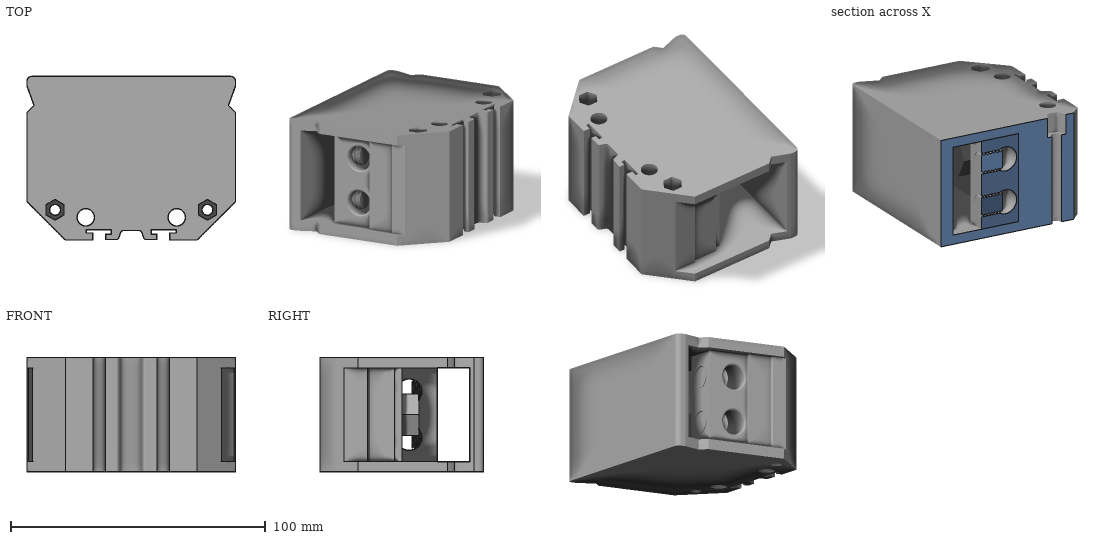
import cadquery as cq
import math

WIDTH = 81.9
HEIGHT = 64.3
DEPTH = 45.0
CORNER_CUT = 15.1
TOP_CORNER_RADIUS = 2.0
GRIP_TOP_Y = 60.45
GRIP_DEPTH = 2.8
GRIP_INNER_Y = 52.8

GROOVE_TOP_Y = 3.7
GROOVE_TOP_HALF_WIDTH = 3.85
GROOVE_MOUTH_HALF_WIDTH = 5.1
GROOVE_EDGE_RADIUS = 1.1
MIDDLE_FEET_Y = 0.2
SLOT_INNER_X = 7.9
SLOT_OUTER_X = 17.6
MOUTH_INNER_X = 10.1
MOUTH_OUTER_X = 15.1
SLOT_TOP_Y = 4.0
INNER_LIP_Y = 2.4
OUTER_LIP_Y = 2.8

ROUND_HOLE_X = 17.85
ROUND_HOLE_Y = 8.9
ROUND_HOLE_DIAMETER = 6.7
BOLT_HOLE_X = 29.9
BOLT_HOLE_Y = 11.9
BOLT_HOLE_DIAMETER = 4.2
NUT_POCKET_FLATS = 7.05
NUT_POCKET_DEPTH = 8.2

CHAMBER_DEPTH = 36.8
CHAMBER_TOP_Y = 58.8
CHAMBER_FLOOR_Y = 8.2
PEDESTAL_LEFT_X = -38.7
PEDESTAL_RIGHT_X = 35.4
PEDESTAL_TOP_Y = 29.2
LEDGE_WIDTH = 1.0
LEDGE_LOW_Y = 18.75
LEDGE_HIGH_Y = 19.3

BLOCK_INSET = 1.9
BLOCK_TOP_Y = 46.1
SHELF_Y = 32.3
CLAMP_LENGTH = 13.9
TERMINAL_SPACING = 18.0
BORE_Y = 35.05
BORE_DIAMETER = 9.9
BORE_CHAMFER = 0.5
DRILL_POINT_ANGLE = 118.0

SCREW_DIAMETER = 8.7
SCREW_PITCH = 1.5
THREAD_DEPTH = 0.65
SCREW_HOLE_DIAMETER = 8.8
CREST_WIDTH = 0.2
RIDGE_WIDTH = 1.3
THREAD_START_ANGLE = 150.0
RIDGE_EMBED = 0.1
SCREW_TIP_Y = 36.2
NUT_FLATS = 16.4
NUT_HEIGHT = 6.55

block_left = PEDESTAL_LEFT_X + LEDGE_WIDTH + BLOCK_INSET
block_right = PEDESTAL_RIGHT_X - LEDGE_WIDTH - BLOCK_INSET
clamp_right = block_left + CLAMP_LENGTH
screw_x = (block_left + clamp_right) / 2
nut_x = (clamp_right + block_right) / 2
terminal_z_places = (-TERMINAL_SPACING / 2, TERMINAL_SPACING / 2)


def prism(points, depth):
    """Extrude a closed XY outline symmetrically about Z = 0."""
    return cq.Workplane("XY").polyline(points).close().extrude(depth / 2, both=True)


def upright(x, y, z):
    """Workplane at a point, with its normal along +Y."""
    return cq.Workplane(cq.Plane(origin=(x, y, z), xDir=(1, 0, 0), normal=(0, 1, 0)))


def housing_body():
    """Outer shape with finger grips and rounded top corners."""
    half = WIDTH / 2
    right_side = [
        (half - CORNER_CUT, 0),
        (half, CORNER_CUT),
        (half, GRIP_INNER_Y - GRIP_DEPTH),
        (half - GRIP_DEPTH, GRIP_INNER_Y),
        (half, GRIP_TOP_Y),
        (half, HEIGHT),
    ]
    left_side = [(-x, y) for x, y in reversed(right_side)]
    body = prism(right_side + left_side, DEPTH)
    top_corners = cq.selectors.BoxSelector(
        (-WIDTH, HEIGHT - TOP_CORNER_RADIUS, -DEPTH), (WIDTH, HEIGHT + TOP_CORNER_RADIUS, DEPTH)
    )
    return body.edges("|Z").edges(top_corners).fillet(TOP_CORNER_RADIUS)


def cut_rail_groove(body):
    """Flared groove with rounded edges, between two feet that stand back from the mounting face."""
    feet_relief = prism(
        [
            (-MOUTH_INNER_X, 0),
            (MOUTH_INNER_X, 0),
            (MOUTH_INNER_X, MIDDLE_FEET_Y),
            (-MOUTH_INNER_X, MIDDLE_FEET_Y),
        ],
        DEPTH,
    )
    groove = prism(
        [
            (-GROOVE_MOUTH_HALF_WIDTH, MIDDLE_FEET_Y),
            (-GROOVE_TOP_HALF_WIDTH, GROOVE_TOP_Y),
            (GROOVE_TOP_HALF_WIDTH, GROOVE_TOP_Y),
            (GROOVE_MOUTH_HALF_WIDTH, MIDDLE_FEET_Y),
        ],
        DEPTH,
    )
    groove_edges = cq.selectors.BoxSelector(
        (-SLOT_INNER_X, -0.8, -DEPTH), (SLOT_INNER_X, GROOVE_TOP_Y + 0.1, DEPTH)
    )
    return body.cut(feet_relief).cut(groove).edges("|Z").edges(groove_edges).fillet(GROOVE_EDGE_RADIUS)


def cut_t_slots(body):
    """Two mirrored T slots with lips of unequal height."""
    for side in (-1, 1):
        outline = [
            (MOUTH_INNER_X, 0),
            (MOUTH_INNER_X, INNER_LIP_Y),
            (SLOT_INNER_X, INNER_LIP_Y),
            (SLOT_INNER_X, SLOT_TOP_Y),
            (SLOT_OUTER_X, SLOT_TOP_Y),
            (SLOT_OUTER_X, OUTER_LIP_Y),
            (MOUTH_OUTER_X, OUTER_LIP_Y),
            (MOUTH_OUTER_X, 0),
        ]
        body = body.cut(prism([(side * x, y) for x, y in outline], DEPTH))
    return body


def cut_mounting_holes(body):
    """Round through holes, and bolt holes with hexagonal nut pockets in the +Z face."""
    round_places = [(-ROUND_HOLE_X, ROUND_HOLE_Y), (ROUND_HOLE_X, ROUND_HOLE_Y)]
    bolt_places = [(-BOLT_HOLE_X, BOLT_HOLE_Y), (BOLT_HOLE_X, BOLT_HOLE_Y)]
    plane = cq.Workplane("XY")
    round_holes = plane.pushPoints(round_places).circle(ROUND_HOLE_DIAMETER / 2).extrude(DEPTH / 2, both=True)
    bolt_holes = plane.pushPoints(bolt_places).circle(BOLT_HOLE_DIAMETER / 2).extrude(DEPTH / 2, both=True)
    body = body.cut(round_holes).cut(bolt_holes)

    corner_radius = NUT_POCKET_FLATS / math.sqrt(3)
    corner_angles = [math.radians(30 + 60 * i) for i in range(6)]
    hexagon = [(corner_radius * math.cos(a), corner_radius * math.sin(a)) for a in corner_angles]
    for x, y in bolt_places:
        pocket = cq.Workplane("XY").polyline(hexagon).close().extrude(NUT_POCKET_DEPTH)
        body = body.cut(pocket.translate((x, y, DEPTH / 2 - NUT_POCKET_DEPTH)))
    return body


def cut_chamber(body):
    """Chamber above and beside the pedestal; each pedestal end has a small sloped ledge."""
    chamber = prism(
        [
            (-WIDTH, CHAMBER_TOP_Y),
            (WIDTH, CHAMBER_TOP_Y),
            (WIDTH, CHAMBER_FLOOR_Y),
            (PEDESTAL_RIGHT_X, CHAMBER_FLOOR_Y),
            (PEDESTAL_RIGHT_X, LEDGE_LOW_Y),
            (PEDESTAL_RIGHT_X - LEDGE_WIDTH, LEDGE_HIGH_Y),
            (PEDESTAL_RIGHT_X - LEDGE_WIDTH, PEDESTAL_TOP_Y),
            (PEDESTAL_LEFT_X + LEDGE_WIDTH, PEDESTAL_TOP_Y),
            (PEDESTAL_LEFT_X + LEDGE_WIDTH, LEDGE_HIGH_Y),
            (PEDESTAL_LEFT_X, LEDGE_LOW_Y),
            (PEDESTAL_LEFT_X, CHAMBER_FLOOR_Y),
            (-WIDTH, CHAMBER_FLOOR_Y),
        ],
        CHAMBER_DEPTH,
    )
    return body.cut(chamber)


def make_housing():
    """Moulded housing that holds all the other bodies."""
    body = housing_body()
    body = cut_rail_groove(body)
    body = cut_t_slots(body)
    body = cut_mounting_holes(body)
    return cut_chamber(body)


def wire_bore(z):
    """Blind bore along +X with a chamfered mouth and a drill-point end, as a solid of revolution."""
    radius = BORE_DIAMETER / 2
    point_length = radius / math.tan(math.radians(DRILL_POINT_ANGLE / 2))
    profile = [
        (block_left, 0),
        (block_left, radius + BORE_CHAMFER),
        (block_left + BORE_CHAMFER, radius),
        (clamp_right, radius),
        (clamp_right + point_length, 0),
    ]
    bore = cq.Workplane("XY").polyline(profile).close().revolve(360, (0, 0, 0), (1, 0, 0))
    return bore.translate((0, BORE_Y, z))


def make_block():
    """Stepped terminal block on the pedestal, with a wire bore and a screw hole per terminal."""
    block = prism(
        [
            (block_left, PEDESTAL_TOP_Y),
            (block_right, PEDESTAL_TOP_Y),
            (block_right, SHELF_Y),
            (clamp_right, SHELF_Y),
            (clamp_right, BLOCK_TOP_Y),
            (block_left, BLOCK_TOP_Y),
        ],
        CHAMBER_DEPTH,
    )
    for z in terminal_z_places:
        screw_hole = upright(screw_x, BORE_Y, z).circle(SCREW_HOLE_DIAMETER / 2).extrude(BLOCK_TOP_Y - BORE_Y)
        block = block.cut(wire_bore(z)).cut(screw_hole)
    return block


def make_screw(z):
    """Headless screw with a helical V thread, its tip reaching into the wire bore."""
    crest = SCREW_DIAMETER / 2
    root = crest - THREAD_DEPTH
    length = BLOCK_TOP_Y - SCREW_TIP_Y
    run_out = SCREW_PITCH
    blank_length = length + 2 * run_out

    foot = root - RIDGE_EMBED
    ridge_profile = [
        (foot, -RIDGE_WIDTH / 2),
        (crest, -CREST_WIDTH / 2),
        (crest, CREST_WIDTH / 2),
        (foot, RIDGE_WIDTH / 2),
    ]
    helix = cq.Wire.makeHelix(SCREW_PITCH, blank_length, root)
    ridge = cq.Workplane("XZ").polyline(ridge_profile).close().sweep(cq.Workplane(helix), isFrenet=True)
    ridge = ridge.rotate((0, 0, 0), (0, 0, 1), THREAD_START_ANGLE)
    core = cq.Workplane("XY").workplane(offset=-run_out).circle(root).extrude(blank_length + 2 * run_out)
    envelope = cq.Workplane("XY").workplane(offset=run_out).circle(SCREW_DIAMETER).extrude(length)
    screw = core.union(ridge).intersect(envelope).solids()
    screw = screw.translate((0, 0, -run_out)).rotate((0, 0, 0), (1, 0, 0), -90)
    return screw.translate((screw_x, SCREW_TIP_Y, z))


def make_nut():
    """Hexagonal nut on the block shelf, two of its flats facing along Z."""
    corner_angles = [math.radians(60 * i) for i in range(6)]
    radius = NUT_FLATS / math.sqrt(3)
    corners = [(radius * math.cos(a), radius * math.sin(a)) for a in corner_angles]
    return upright(nut_x, SHELF_Y, 0).polyline(corners).close().extrude(NUT_HEIGHT)


housing = make_housing()
block = make_block()
screws = [make_screw(z) for z in terminal_z_places]
nut = make_nut()

result = cq.Compound.makeCompound(
    [housing.val(), block.val(), *[screw.val() for screw in screws], nut.val()]
)